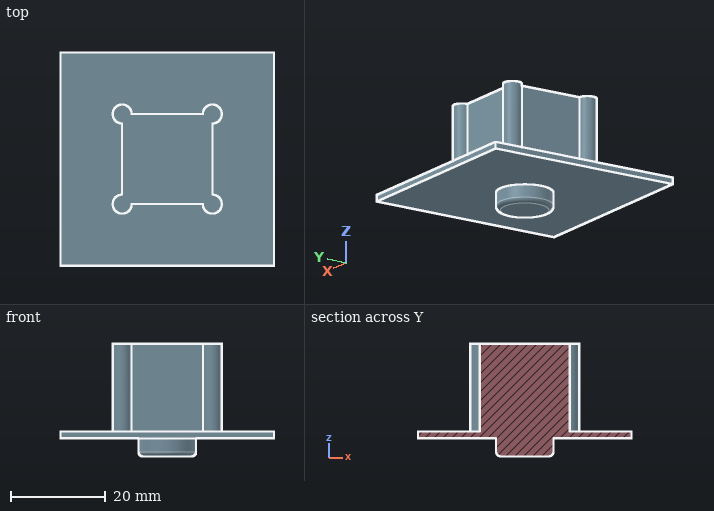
import cadquery as cq

plate_side = 45.0
plate_thickness = 1.5
block_side = 19.0
block_height = 18.5
post_diameter = 4.0
boss_diameter = 12.2
boss_height = 3.82
boss_edge_radius = 1.0

plate = cq.Workplane("XY").box(
    plate_side, plate_side, plate_thickness, centered=(True, True, False)
)

plate_top = cq.Workplane("XY").workplane(offset=plate_thickness)
block = plate_top.rect(block_side, block_side).extrude(block_height)

posts = (
    plate_top.rect(block_side, block_side, forConstruction=True)
    .vertices()
    .circle(post_diameter / 2)
    .extrude(block_height)
)

boss = (
    cq.Workplane("XY")
    .circle(boss_diameter / 2)
    .extrude(-boss_height)
    .faces("<Z")
    .edges()
    .fillet(boss_edge_radius)
)

result = plate.union(block).union(posts).union(boss)